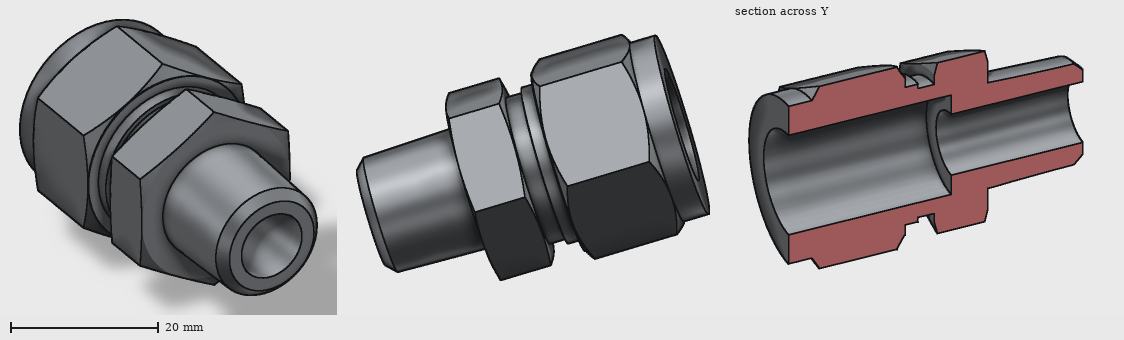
import cadquery as cq
import math


overall_length = 44.19
collar_end = 3.5
nut_hex_end = 17.43
washer_face_end = 17.55
ring_end = 19.45
neck_end = 21.87
body_hex_end = 29.93
taper_start = 30.45

nut_across_flats = 25.4
collar_diameter = nut_across_flats
ring_diameter = 22.2
neck_diameter = 20.8
body_across_flats = 23.8
thread_diameter = 17.06
thread_taper = 1 / 16
thread_chamfer = 1.35
tube_bore_diameter = 15.9
tube_bore_depth = 24.4
through_bore_diameter = 9.7

hexagon_sides = 6

nut_chamfer_angle = 30
body_chamfer_angle = 14
corner_clearance = 1.0


def cylinder(start, end, diameter):
    """Round bar along X between two stations."""
    return cq.Workplane("YZ").workplane(offset=start).circle(diameter / 2).extrude(end - start)


def chamfered_hexagon(start, end, across_flats, chamfer_angle):
    """Hexagon along X, corners up and down, with both ends turned to a cone."""
    flat_radius = across_flats / 2
    corner_radius = flat_radius / math.cos(math.pi / hexagon_sides)
    outer_radius = corner_radius + corner_clearance
    setback = (outer_radius - flat_radius) * math.tan(math.radians(chamfer_angle))
    prism = (
        cq.Workplane("YZ")
        .workplane(offset=start)
        .transformed(rotate=(0, 0, 90))
        .polygon(hexagon_sides, 2 * corner_radius)
        .extrude(end - start)
    )
    envelope = (
        cq.Workplane("XY")
        .moveTo(start, 0)
        .lineTo(start, flat_radius)
        .lineTo(start + setback, outer_radius)
        .lineTo(end - setback, outer_radius)
        .lineTo(end, flat_radius)
        .lineTo(end, 0)
        .close()
        .revolve(360, (0, 0, 0), (1, 0, 0))
    )
    return prism.intersect(envelope)


def male_thread():
    """Plain taper blank of the male thread, with its runout and lead-in chamfer."""
    base_radius = thread_diameter / 2
    chamfer_start = overall_length - thread_chamfer
    tip_radius = base_radius - (chamfer_start - taper_start) * thread_taper / 2
    return (
        cq.Workplane("XY")
        .moveTo(body_hex_end, 0)
        .lineTo(body_hex_end, base_radius)
        .lineTo(taper_start, base_radius)
        .lineTo(chamfer_start, tip_radius)
        .lineTo(overall_length, tip_radius - thread_chamfer)
        .lineTo(overall_length, 0)
        .close()
        .revolve(360, (0, 0, 0), (1, 0, 0))
    )


def nut():
    """Hexagon nut with a round collar in front and a thin washer face behind."""
    collar = cylinder(0, collar_end, collar_diameter)
    hexagon = chamfered_hexagon(collar_end, nut_hex_end, nut_across_flats, nut_chamfer_angle)
    washer_face = cylinder(nut_hex_end, washer_face_end, nut_across_flats)
    return collar.union(hexagon).union(washer_face)


def body():
    """Stepped neck, body hexagon and male thread."""
    ring = cylinder(washer_face_end, ring_end, ring_diameter)
    neck = cylinder(ring_end, neck_end, neck_diameter)
    hexagon = chamfered_hexagon(neck_end, body_hex_end, body_across_flats, body_chamfer_angle)
    return ring.union(neck).union(hexagon).union(male_thread())


tube_bore = cylinder(0, tube_bore_depth, tube_bore_diameter)
through_bore = cylinder(0, overall_length, through_bore_diameter)

result = nut().union(body()).cut(tube_bore).cut(through_bore)